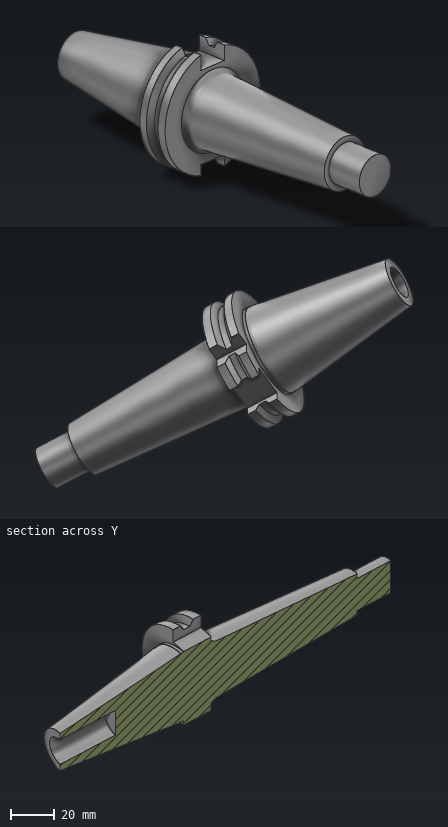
import cadquery as cq
import math

total_length = 191.7
gauge_x = 68.5
collar_split_x = 70.0
flange_front_x = 71.5
flange_back_x = 87.6
nose_root_x = 91.2
nose_end_x = 172.1
groove_center_x = 79.4

taper_small_radius = 12.3
taper_large_radius = 22.2
collar_radius = 22.5
flange_diameter = 63.5
flange_radius = flange_diameter / 2
groove_radius = 28.4
fillet_start_radius = 20.9
nose_root_radius = 18.5
nose_end_radius = 13.6
tip_radius = 10.5

groove_floor_width = 3.3
groove_mouth_width = 7.5

bore_radius = 7.9
bore_depth = 32.0

slot_width = 15.5
top_slot_floor = 22.8
bottom_slot_floor = 25.1
notch_offset = 18.8

flange_width = flange_back_x - flange_front_x


def make_body():
    """Revolve the half profile: taper, grooved flange, nose and tip."""
    floor_half = groove_floor_width / 2
    mouth_half = groove_mouth_width / 2
    nose_angle = math.atan2(nose_root_radius - nose_end_radius, nose_end_x - nose_root_x)
    run = flange_back_x - nose_root_x
    rise = fillet_start_radius - nose_root_radius
    normal_x = math.sin(nose_angle)
    normal_r = math.cos(nose_angle)
    fillet_radius = (run**2 + rise**2) / (2 * (run * normal_x + rise * normal_r))
    center_x = nose_root_x + fillet_radius * normal_x
    center_r = nose_root_radius + fillet_radius * normal_r
    start_angle = math.atan2(fillet_start_radius - center_r, flange_back_x - center_x)
    end_angle = math.atan2(-normal_r, -normal_x)
    middle_angle = (start_angle + end_angle) / 2
    fillet_middle = (
        center_x + fillet_radius * math.cos(middle_angle),
        center_r + fillet_radius * math.sin(middle_angle),
    )
    profile = (
        cq.Workplane("XY")
        .lineTo(0, taper_small_radius)
        .lineTo(gauge_x, taper_large_radius)
        .lineTo(collar_split_x, taper_large_radius)
        .lineTo(collar_split_x, collar_radius)
        .lineTo(flange_front_x, collar_radius)
        .lineTo(flange_front_x, flange_radius)
        .lineTo(groove_center_x - mouth_half, flange_radius)
        .lineTo(groove_center_x - floor_half, groove_radius)
        .lineTo(groove_center_x + floor_half, groove_radius)
        .lineTo(groove_center_x + mouth_half, flange_radius)
        .lineTo(flange_back_x, flange_radius)
        .lineTo(flange_back_x, fillet_start_radius)
        .threePointArc(fillet_middle, (nose_root_x, nose_root_radius))
        .lineTo(nose_end_x, nose_end_radius)
        .lineTo(nose_end_x, tip_radius)
        .lineTo(total_length, tip_radius)
        .lineTo(total_length, 0)
        .close()
    )
    return profile.revolve(360, (0, 0, 0), (1, 0, 0))


def flange_cutter(y_min, y_max, z_min, z_max):
    """Block spanning the flange width, for cutting its rim."""
    return cq.Workplane("XY").box(
        flange_width, y_max - y_min, z_max - z_min, centered=False
    ).translate((flange_front_x, y_min, z_min))


bore = cq.Workplane("YZ").circle(bore_radius).extrude(bore_depth)

half_slot = slot_width / 2
top_slot = flange_cutter(-half_slot, half_slot, top_slot_floor, flange_radius)
bottom_slot = flange_cutter(-half_slot, half_slot, -flange_radius, -bottom_slot_floor)
notch = flange_cutter(notch_offset, flange_radius, -flange_radius, -notch_offset)

result = make_body().cut(bore).cut(top_slot).cut(bottom_slot).cut(notch)